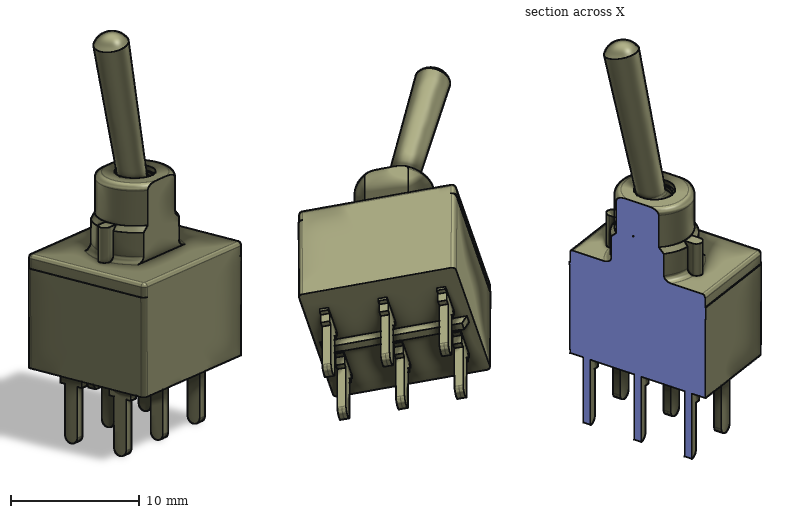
import cadquery as cq
import math

OVERLAP = 0.3

CASE_WIDTH = 11.5
CASE_LENGTH_TOP = 12.7
CASE_LENGTH_BOTTOM = 12.6
CASE_HEIGHT = 8.25
COVER_LENGTH = 12.6
COVER_TOP = 9.4
CORNER_RADIUS = 0.35
COVER_EDGE_RADIUS = 0.3

BUSHING_TOP = 15.7
UPPER_RADIUS = 3.13
LOWER_RADIUS = 3.45
CONE_TOP = 12.3
CONE_BOTTOM = 11.85
BUSHING_FILLET = 0.5
FLAT_DISTANCE = 5.2
KEY_WIDTH = 1.0
KEY_REACH = 4.4

BORE_RADIUS = 1.4
MOUTH_RADIUS = 1.6
MOUTH_DEPTH = 0.4
PIVOT_HEIGHT = 13.85
BALL_RADIUS = 1.8
NECK_FILLET = 0.25
LEVER_TILT = 13.0
LEVER_LENGTH = 13.68
LEVER_ROOT_RADIUS = 1.12
LEVER_TIP_RADIUS = 1.4
LEVER_CAP_HEIGHT = 0.87

PIN_THICKNESS = 0.7
PIN_ROW_X = 2.4
PIN_PITCH_Y = 4.7
PIN_BOTTOM = -5.9
PIN_WIDTH = 1.2
SHOULDER_WIDTH = 2.1
SHOULDER_BOTTOM = -1.1
FOOT_WIDTH = 2.9
FOOT_BOTTOM = -0.25

RIB_WIDTH = 0.7
RIB_HEIGHT = 0.7
RIB_LENGTH_TOP = 11.8
RIB_LENGTH_BOTTOM = 11.0


def make_case():
    """Box whose two Y faces taper in toward the underside."""
    outline = [
        (-CASE_LENGTH_BOTTOM / 2, 0),
        (CASE_LENGTH_BOTTOM / 2, 0),
        (CASE_LENGTH_TOP / 2, CASE_HEIGHT),
        (-CASE_LENGTH_TOP / 2, CASE_HEIGHT),
    ]
    case = cq.Workplane("YZ").polyline(outline).close().extrude(CASE_WIDTH / 2, both=True)
    return case.edges("not(|X or |Y)").fillet(CORNER_RADIUS)


def make_cover():
    """Slab that closes the case, rounded at its corners and around its top."""
    cover = cq.Workplane("XY", origin=(0, 0, CASE_HEIGHT))
    cover = cover.rect(CASE_WIDTH, COVER_LENGTH).extrude(COVER_TOP - CASE_HEIGHT)
    cover = cover.edges("|Z").fillet(CORNER_RADIUS)
    return cover.faces(">Z").edges().fillet(COVER_EDGE_RADIUS)


def make_bushing():
    """Stepped bushing with two flats, two locating keys and a counterbored blind bore."""
    rounding = BUSHING_FILLET * (1 - math.sqrt(0.5))
    flare_radius = LOWER_RADIUS + BUSHING_FILLET
    profile = (
        cq.Workplane("XZ")
        .moveTo(0, COVER_TOP - OVERLAP)
        .lineTo(flare_radius, COVER_TOP - OVERLAP)
        .lineTo(flare_radius, COVER_TOP)
        .threePointArc((LOWER_RADIUS + rounding, COVER_TOP + rounding),
                       (LOWER_RADIUS, COVER_TOP + BUSHING_FILLET))
        .lineTo(LOWER_RADIUS, CONE_BOTTOM)
        .lineTo(UPPER_RADIUS, CONE_TOP)
        .lineTo(UPPER_RADIUS, BUSHING_TOP - BUSHING_FILLET)
        .threePointArc((UPPER_RADIUS - rounding, BUSHING_TOP - rounding),
                       (UPPER_RADIUS - BUSHING_FILLET, BUSHING_TOP))
        .lineTo(0, BUSHING_TOP)
        .close()
    )
    turned = profile.revolve(360, (0, 0, 0), (0, 1, 0))
    between_flats = cq.Workplane("XY").box(
        FLAT_DISTANCE, 2 * KEY_REACH, BUSHING_TOP, centered=(True, True, False)
    )
    key_base = COVER_TOP - OVERLAP
    keys = cq.Workplane("XY", origin=(0, 0, key_base))
    keys = keys.slot2D(2 * KEY_REACH, KEY_WIDTH, 90).extrude(CONE_TOP - key_base)
    bore = cq.Workplane("XY", origin=(0, 0, PIVOT_HEIGHT))
    bore = bore.circle(BORE_RADIUS).extrude(BUSHING_TOP - PIVOT_HEIGHT)
    mouth = cq.Workplane("XY", origin=(0, 0, BUSHING_TOP - MOUTH_DEPTH))
    mouth = mouth.circle(MOUTH_RADIUS).extrude(MOUTH_DEPTH)
    return turned.intersect(between_flats).union(keys).cut(bore).cut(mouth)


def make_lever():
    """Tapered bat with a domed end, rising from a ball seated in the bore."""
    cap_sphere_radius = (LEVER_TIP_RADIUS**2 + LEVER_CAP_HEIGHT**2) / (2 * LEVER_CAP_HEIGHT)
    cap_center = LEVER_LENGTH + LEVER_CAP_HEIGHT - cap_sphere_radius
    half_angle = math.asin(LEVER_TIP_RADIUS / cap_sphere_radius) / 2
    cap_middle = (
        cap_sphere_radius * math.sin(half_angle),
        cap_center + cap_sphere_radius * math.cos(half_angle),
    )
    bat = (
        cq.Workplane("XZ")
        .lineTo(LEVER_ROOT_RADIUS, 0)
        .lineTo(LEVER_TIP_RADIUS, LEVER_LENGTH)
        .threePointArc(cap_middle, (0, LEVER_LENGTH + LEVER_CAP_HEIGHT))
        .close()
        .revolve(360, (0, 0, 0), (0, 1, 0))
    )
    ball = cq.Workplane("XY").sphere(BALL_RADIUS)
    lever = bat.union(ball)
    lever = lever.edges(cq.selectors.RadiusNthSelector(0)).fillet(NECK_FILLET)
    return lever.rotate((0, 0, 0), (1, 0, 0), LEVER_TILT).translate((0, 0, PIVOT_HEIGHT))


def make_pin(x, y):
    """Flat terminal with two shoulder steps and a fully rounded tip."""
    def strip(width, bottom):
        height = OVERLAP - bottom
        return cq.Workplane("XY", origin=(x, y, bottom)).box(
            width, PIN_THICKNESS, height, centered=(True, True, False)
        )

    tip_center = PIN_BOTTOM + PIN_WIDTH / 2
    tip = cq.Workplane("XZ", origin=(x, y, tip_center))
    tip = tip.circle(PIN_WIDTH / 2).extrude(PIN_THICKNESS / 2, both=True)
    pin = strip(PIN_WIDTH, tip_center).union(tip)
    return pin.union(strip(SHOULDER_WIDTH, SHOULDER_BOTTOM)).union(strip(FOOT_WIDTH, FOOT_BOTTOM))


def make_rib():
    """Narrow rib with sloping ends between the two rows of terminals."""
    outline = [
        (-RIB_LENGTH_BOTTOM / 2, -RIB_HEIGHT),
        (RIB_LENGTH_BOTTOM / 2, -RIB_HEIGHT),
        (RIB_LENGTH_TOP / 2, 0),
        (RIB_LENGTH_TOP / 2, OVERLAP),
        (-RIB_LENGTH_TOP / 2, OVERLAP),
        (-RIB_LENGTH_TOP / 2, 0),
    ]
    return cq.Workplane("YZ").polyline(outline).close().extrude(RIB_WIDTH / 2, both=True)


result = make_case().union(make_cover()).union(make_bushing()).union(make_lever()).union(make_rib())
for pin_x in (-PIN_ROW_X, PIN_ROW_X):
    for pin_y in (-PIN_PITCH_Y, 0, PIN_PITCH_Y):
        result = result.union(make_pin(pin_x, pin_y))